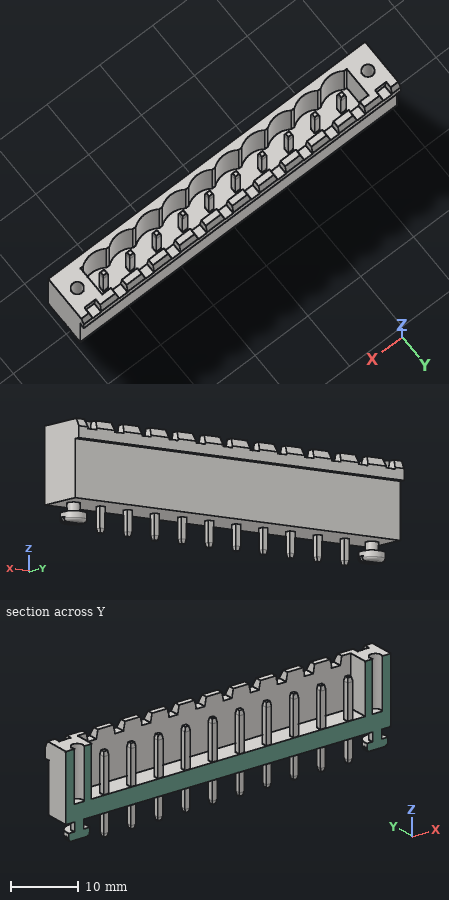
import cadquery as cq

length = 60.0
total_depth = 8.6
height = 12.0

station_count = 12
pitch = length / station_count
stations = [(i - (station_count - 1) / 2) * pitch for i in range(station_count)]
contact_stations = stations[1:-1]
screw_stations = [stations[0], stations[-1]]

front_y = -3.85
back_y = front_y + total_depth

lip_overhang = 0.9
lip_height = 3.05
lip_bevel_depth = 0.6
lip_bevel_height = 1.25

wall = 1.7
end_wall = 4.8
pocket_depth = 9.0
pocket_half_length = length / 2 - end_wall
pocket_front_y = front_y + wall
pocket_back_y = back_y - wall
scallop_half_width = 2.2
scallop_depth = 0.7

notch_top_width = 2.1
notch_floor_width = 1.55
notch_depth = 1.5

pin_width = 0.95
pin_end_width = 0.65
pin_taper_length = 0.7
pin_bottom_z = -4.0
pin_recess = 2.0
pin_top_z = height - pin_recess

screw_diameter = 2.0
bore_depth = pocket_depth
head_diameter = 4.0
head_top_z = -1.5
head_height = 1.5
head_edge_radius = 0.55
driver_slot_width = 0.6
driver_slot_depth = 0.7


def make_housing():
    """Solid block whose end profile carries the bevelled lip."""
    body_back_y = back_y - lip_overhang
    profile = [
        (front_y, 0),
        (body_back_y, 0),
        (body_back_y, height - lip_height),
        (back_y, height - lip_height),
        (back_y, height - lip_bevel_height),
        (back_y - lip_bevel_depth, height),
        (front_y, height),
    ]
    return cq.Workplane("YZ").polyline(profile).close().extrude(length / 2, both=True)


def make_pocket():
    """Plug pocket with a scalloped front wall, one scallop per contact."""
    outline = (
        cq.Workplane("XY", origin=(0, 0, height - pocket_depth))
        .moveTo(-pocket_half_length, pocket_back_y)
        .lineTo(-pocket_half_length, pocket_front_y)
    )
    for x in contact_stations:
        outline = outline.lineTo(x - scallop_half_width, pocket_front_y).threePointArc(
            (x, pocket_front_y - scallop_depth),
            (x + scallop_half_width, pocket_front_y),
        )
    outline = outline.lineTo(pocket_half_length, pocket_front_y)
    outline = outline.lineTo(pocket_half_length, pocket_back_y).close()
    return outline.extrude(pocket_depth)


def make_notch(x):
    """Notch through the back wall, open at the top."""
    floor_z = height - notch_depth
    profile = [
        (x - notch_top_width / 2, height),
        (x - notch_floor_width / 2, floor_z),
        (x + notch_floor_width / 2, floor_z),
        (x + notch_top_width / 2, height),
    ]
    plane = cq.Workplane("XZ", origin=(0, back_y, 0))
    return plane.polyline(profile).close().extrude(wall)


def make_pin(x):
    """Square contact pin, tapered at both ends."""
    shank_bottom_z = pin_bottom_z + pin_taper_length
    shank_top_z = pin_top_z - pin_taper_length

    def taper(start_z, end_z):
        return (
            cq.Workplane("XY", origin=(x, 0, start_z))
            .rect(pin_width, pin_width)
            .workplane(offset=end_z - start_z)
            .rect(pin_end_width, pin_end_width)
            .loft()
        )

    shank = (
        cq.Workplane("XY", origin=(x, 0, shank_bottom_z))
        .rect(pin_width, pin_width)
        .extrude(shank_top_z - shank_bottom_z)
    )
    return shank.union(taper(shank_bottom_z, pin_bottom_z)).union(taper(shank_top_z, pin_top_z))


def make_screw(x):
    """Screw below the housing: plain shank and slotted head with a rounded rim."""
    head_bottom_z = head_top_z - head_height
    shank = cq.Workplane("XY").circle(screw_diameter / 2).extrude(head_top_z)
    head = (
        cq.Workplane("XY", origin=(0, 0, head_bottom_z))
        .circle(head_diameter / 2)
        .extrude(head_height)
        .faces("<Z")
        .edges()
        .fillet(head_edge_radius)
    )
    driver_slot = cq.Workplane("XY", origin=(0, 0, head_bottom_z)).box(
        head_diameter, driver_slot_width, driver_slot_depth, centered=(True, True, False)
    )
    return shank.union(head.cut(driver_slot)).translate((x, 0, 0))


def make_bore(x):
    """Blind bore down from the top face, in line with a screw."""
    plane = cq.Workplane("XY", origin=(x, 0, height - bore_depth))
    return plane.circle(screw_diameter / 2).extrude(bore_depth)


result = make_housing().cut(make_pocket())
for x in stations:
    result = result.cut(make_notch(x))
for x in contact_stations:
    result = result.union(make_pin(x))
for x in screw_stations:
    result = result.cut(make_bore(x)).union(make_screw(x))